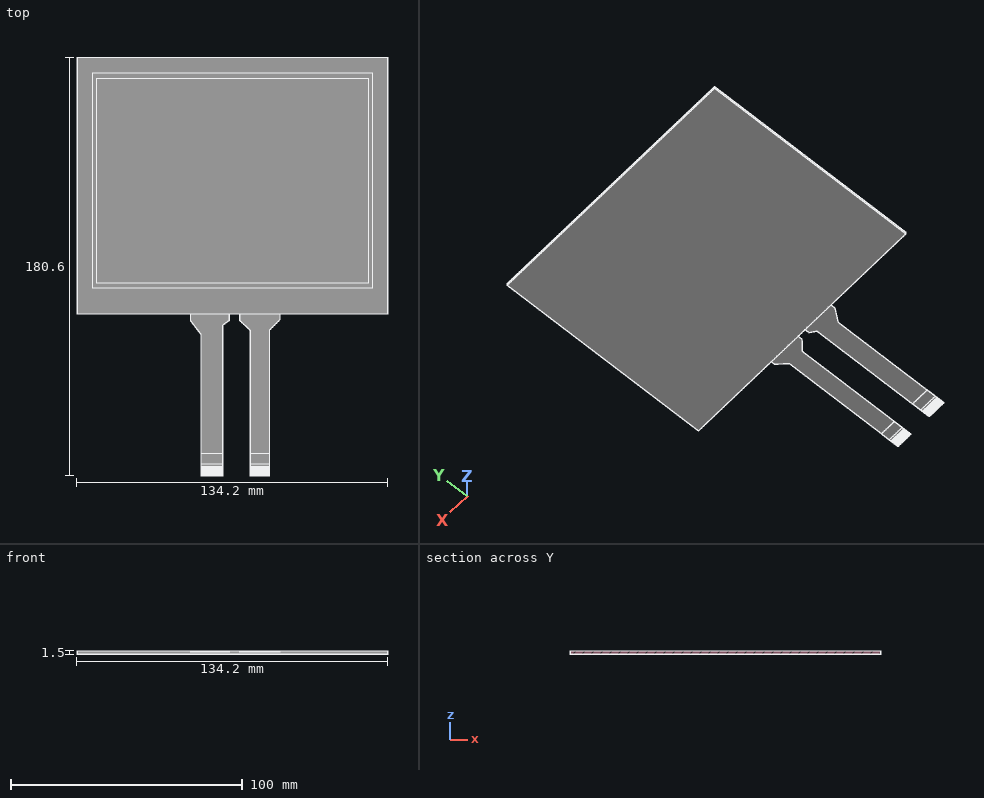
import cadquery as cq

panel_width = 134.2
panel_height = 110.8
panel_thickness = 1.5
panel_bottom = -panel_height / 2

frame_outer_width = 120.8
frame_outer_height = 92.8
frame_inner_width = 117.4
frame_inner_height = 88.2
frame_bottom_margin = 11.2
frame_depth = 0.05
frame_center_y = panel_bottom + frame_bottom_margin + frame_outer_height / 2

overall_length = 180.6
tail_length = overall_length - panel_height
tail_end = panel_bottom - tail_length
tail_bottom = 1.1
tail_thickness = 0.1
tail_top = tail_bottom + tail_thickness
tail_root_depth = 2.0

stiffener_length = 9.6
stiffener_thickness = 0.2
bare_length = 5.0
cover_thickness = 0.03
pad_length = 4.0
pad_height = 0.02
pad_width = 0.3
pad_pitch = 0.5

left_root = (-18.2, -1.4)
left_strip = (-13.7, -4.2)
left_shoulders = (2.8, 2.8)
left_flare_ends = (8.7, 4.8)
left_pad_count = 18

right_root = (3.1, 20.5)
right_strip = (7.6, 16.0)
right_shoulders = (2.8, 2.4)
right_flare_ends = (7.0, 6.9)
right_pad_count = 16


def box_between(x_range, y_range, z_range):
    """Axis-aligned box spanning the given (low, high) ranges."""
    size = [high - low for low, high in (x_range, y_range, z_range)]
    corner = (x_range[0], y_range[0], z_range[0])
    return cq.Workplane("XY").box(*size, centered=False).translate(corner)


def make_panel():
    """Plate with the rectangular frame groove in its top face."""
    plate = cq.Workplane("XY").box(
        panel_width, panel_height, panel_thickness, centered=(True, True, False)
    )
    groove = (
        cq.Workplane("XY", origin=(0, frame_center_y, panel_thickness - frame_depth))
        .rect(frame_outer_width, frame_outer_height)
        .rect(frame_inner_width, frame_inner_height)
        .extrude(frame_depth)
    )
    return plate.cut(groove)


def make_tail_film(root, strip, shoulders, flare_ends):
    """Flat film: wide root at the panel, tapering on each side to a narrow strip."""
    root_y = panel_bottom + tail_root_depth
    return (
        cq.Workplane("XY", origin=(0, 0, tail_bottom))
        .moveTo(root[0], root_y)
        .lineTo(root[0], panel_bottom - shoulders[0])
        .lineTo(strip[0], panel_bottom - flare_ends[0])
        .lineTo(strip[0], tail_end)
        .lineTo(strip[1], tail_end)
        .lineTo(strip[1], panel_bottom - flare_ends[1])
        .lineTo(root[1], panel_bottom - shoulders[1])
        .lineTo(root[1], root_y)
        .close()
        .extrude(tail_thickness)
    )


def add_contact_end(film, strip, contacts_up, pad_count):
    """Stiffen one face of the tail end, bare the other face and lay a row of pads on it."""
    if contacts_up:
        stiffener_z = (tail_bottom - stiffener_thickness, tail_bottom)
        bare_z = (tail_top - cover_thickness, tail_top)
        pad_z = (bare_z[0], bare_z[0] + pad_height)
    else:
        stiffener_z = (tail_top, tail_top + stiffener_thickness)
        bare_z = (tail_bottom, tail_bottom + cover_thickness)
        pad_z = (bare_z[1] - pad_height, bare_z[1])

    tail = film.cut(box_between(strip, (tail_end, tail_end + bare_length), bare_z))
    tail = tail.union(box_between(strip, (tail_end, tail_end + stiffener_length), stiffener_z))
    strip_center = sum(strip) / 2
    for index in range(pad_count):
        pad_x = strip_center + (index - (pad_count - 1) / 2) * pad_pitch
        pad_range = (pad_x - pad_width / 2, pad_x + pad_width / 2)
        tail = tail.union(box_between(pad_range, (tail_end, tail_end + pad_length), pad_z))
    return tail


left_film = make_tail_film(left_root, left_strip, left_shoulders, left_flare_ends)
left_tail = add_contact_end(left_film, left_strip, False, left_pad_count)

right_film = make_tail_film(right_root, right_strip, right_shoulders, right_flare_ends)
right_tail = add_contact_end(right_film, right_strip, True, right_pad_count)

result = make_panel().union(left_tail).union(right_tail)